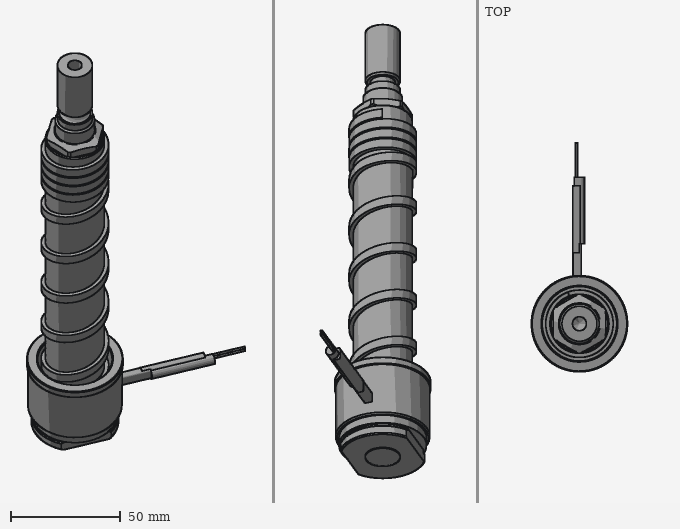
import cadquery as cq
import math

total_height = 226.3

foot_radius = 8
foot_height = 0.5
nut_radius = 20
nut_groove_radius = 19
nut_groove_bottom = 5.2
nut_edge_chamfer = 0.6
nut_flat_to_axis = 16
shoulder_bottom = 6.4

housing_radius = 21.5
housing_bottom = 10.4
housing_top = 40.4
housing_chamfer = 0.7
flange_radius = 22
flange_thickness = 3.8
flange_edge_chamfer = 0.4
bore_radius = 17
bore_floor = 14.2
bore_chamfer = 0.5

tube_radius = 13.5
tube_top = total_height - 46
tube_chamfer = 0.6
hex_flat_to_axis = 12
hex_corner_radius = 13.5
hex_height = 4.8
hex_cone_width = 4
hex_cone_height = 1.3
hex_base_chamfer = 0.7
hex_top = tube_top + hex_height

collar_radius = 9
collar_top = total_height - 33.8
collar_chamfer_height = 0.8
rod_radius = 8
ring_top = total_height - 30.2
neck_radius = 5.4
neck_flare = 1.7
rod_chamfer = 0.9
rod_bottom = total_height - 25.3
neck_top = rod_bottom - rod_chamfer
neck_top_radius = 5.7
neck_waist = ring_top + 2.7
rod_hole_radius = 3.2
rod_hole_depth = 16
drill_point_angle = 118

spring_outer_radius = 15.4
spring_wire_height = 4.5
spring_wire_overlap = 0.5
spring_inner_radius = tube_radius - spring_wire_overlap
close_pitch = 5.3
open_pitch = 25
close_turns = 3.772
open_turns = 4 + 1 / 3
transition_pitch = (close_pitch + open_pitch) / 2
transition_turns = 0.344
spring_end_angle = 110
spring_top = total_height - 49.6

cable_height = 19.2
cable_start = 18
core_radius = 2.4
core_start = 36.5
core_end = 66.9
sleeve_left = -3.1
sleeve_width = 3.4
sleeve_height = 6.1
sleeve_start = 32.5
sleeve_end = 62.9
sleeve_fillet = 0.9
lead_left = -2.95
lead_width = 3.85
lead_height = 5.3
lead_fillet = 0.8
lead_rise = 0.3
wire_radius = 0.55
wire_x = -1.4
wire_spacing = 1.6
wire_start = 60
wire_end = 82.5


def disc(radius, bottom, top):
    return cq.Workplane("XY").workplane(offset=bottom).circle(radius).extrude(top - bottom)


def make_base_nut():
    """Round nut with two flats facing -X and +X, a groove, a shoulder above it and the foot below."""
    nut = disc(nut_radius, foot_height, nut_groove_bottom)
    nut = nut.faces("<Z or >Z").chamfer(nut_edge_chamfer)
    nut = nut.union(disc(nut_groove_radius, foot_height + nut_edge_chamfer, shoulder_bottom))
    flats = cq.Workplane("XY").box(2 * nut_flat_to_axis, 2 * nut_radius, 2 * shoulder_bottom)
    shoulder = disc(nut_radius, shoulder_bottom, housing_bottom)
    return nut.intersect(flats).union(shoulder).union(disc(foot_radius, 0, shoulder_bottom))


def make_housing():
    body = disc(housing_radius, housing_bottom, housing_top)
    body = body.faces("<Z").chamfer(housing_chamfer)
    flange = disc(flange_radius, housing_top - flange_thickness, housing_top)
    flange = flange.faces("<Z or >Z").chamfer(flange_edge_chamfer)
    bore = disc(bore_radius, bore_floor, housing_top)
    housing = body.union(flange).cut(bore)
    bore_rim = cq.selectors.RadiusNthSelector(0)
    return housing.faces(">Z").edges(bore_rim).chamfer(bore_chamfer)


def make_hex_nut():
    """Hexagon with corners on the Y axis, rounded off by a disc with a shallow cone on top."""
    corner_distance = hex_flat_to_axis / math.cos(math.radians(30))
    hexagon = (
        cq.Workplane("XY").workplane(offset=tube_top)
        .polygon(6, 2 * corner_distance).extrude(hex_height)
        .rotate((0, 0, 0), (0, 0, 1), 30)
    )
    rounding = disc(hex_corner_radius, tube_top, hex_top)
    rounding = rounding.faces(">Z").chamfer(hex_cone_height, hex_cone_width)
    rounding = rounding.faces("<Z").chamfer(hex_base_chamfer)
    return hexagon.intersect(rounding)


def make_rod():
    """Collar, ring, necked-down groove and rod in one turned piece, drilled from the top."""
    profile = (
        cq.Workplane("XZ")
        .moveTo(0, tube_top)
        .lineTo(collar_radius, tube_top)
        .lineTo(collar_radius, collar_top - collar_chamfer_height)
        .lineTo(rod_radius, collar_top)
        .lineTo(rod_radius, ring_top)
        .lineTo(neck_radius + neck_flare, ring_top)
        .threePointArc((neck_radius, neck_waist), (neck_top_radius, neck_top))
        .lineTo(rod_radius - rod_chamfer, neck_top)
        .lineTo(rod_radius, rod_bottom)
        .lineTo(rod_radius, total_height)
        .lineTo(0, total_height)
        .close()
    )
    rod = profile.revolve(360, (0, 0, 0), (0, 1, 0))
    hole_bottom = total_height - rod_hole_depth
    point_depth = rod_hole_radius / math.tan(math.radians(drill_point_angle / 2))
    hole = (
        cq.Workplane("XZ")
        .moveTo(0, hole_bottom - point_depth)
        .lineTo(rod_hole_radius, hole_bottom)
        .lineTo(rod_hole_radius, total_height)
        .lineTo(0, total_height)
        .close()
        .revolve(360, (0, 0, 0), (0, 1, 0))
    )
    return rod.cut(hole)


def make_coil(pitch, turns, bottom, start_angle):
    """Right-handed coil of flat wire whose lower edge starts at the given height and angle."""
    wire_width = spring_outer_radius - spring_inner_radius
    middle_radius = spring_inner_radius + wire_width / 2
    path = cq.Wire.makeHelix(pitch, pitch * turns, middle_radius)
    coil = (
        cq.Workplane("XZ")
        .center(middle_radius, spring_wire_height / 2)
        .rect(wire_width, spring_wire_height)
        .sweep(cq.Workplane(path), isFrenet=True)
    )
    return coil.rotate((0, 0, 0), (0, 0, 1), start_angle).translate((0, 0, bottom))


def make_spring_coils():
    """The five stretches of the spring, listed from the top end downward."""
    closed = (close_pitch, close_turns)
    transition = (transition_pitch, transition_turns)
    middle = (open_pitch, open_turns)
    coils = []
    bottom = spring_top - spring_wire_height
    angle = spring_end_angle
    for pitch, turns in (closed, transition, middle, transition, closed):
        bottom -= pitch * turns
        angle -= 360 * turns
        coils.append(make_coil(pitch, turns, bottom, angle))
    return coils


def cable_bar(left, width, height, rise, start, end, fillet):
    bar = cq.Workplane("XY").box(width, end - start, height, centered=(False, False, True))
    bar = bar.edges("|Y").fillet(fillet)
    return bar.translate((left, start, cable_height + rise))


def cable_rod(radius, x, rise, start, end):
    rod = cq.Workplane("XZ").circle(radius).extrude(start - end)
    return rod.translate((x, start, cable_height + rise))


def make_cable():
    """Lead out of the housing, sleeve around it, round core beside it and two bare wires."""
    cable = cable_bar(lead_left, lead_width, lead_height, lead_rise, cable_start, core_start, lead_fillet)
    cable = cable.union(
        cable_bar(sleeve_left, sleeve_width, sleeve_height, 0, sleeve_start, sleeve_end, sleeve_fillet)
    )
    cable = cable.union(cable_rod(core_radius, 0, 0, core_start, core_end))
    for side in (-1, 1):
        rise = lead_rise + side * wire_spacing / 2
        cable = cable.union(cable_rod(wire_radius, wire_x, rise, wire_start, wire_end))
    return cable


tube = disc(tube_radius, housing_bottom, tube_top).faces(">Z").chamfer(tube_chamfer)
result = make_base_nut().union(make_housing()).union(make_cable())
result = result.union(tube).union(make_hex_nut()).union(make_rod())
for coil in make_spring_coils():
    result = result.union(coil)